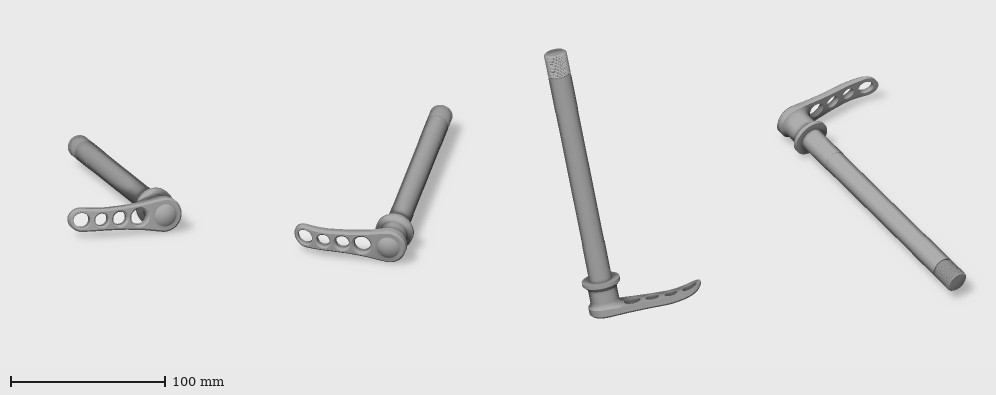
import cadquery as cq
import math


overall_length = 185.78

shaft_radius = 7.5
axle_reach = 159.5
relief_radius = 6.3
relief_width = 1.2
waist_radius = 7.3
waist_start = -119.1
waist_end = -25.2

thread_length = 15.1
thread_pitch = 1.0
thread_depth = 0.8
thread_chamfer = 1.0
groove_half_width = 0.42
groove_overshoot = 0.1

flange_radius = 12.5
flange_rim = 2.4
hub_radius = 9.5
hub_fillet = 4.5
cone_end = flange_rim + flange_radius - hub_radius

lever_back = 18.45
lever_front = 23.5
lever_edge_chamfer = 1.3
head_radius = 11.5
neck_y = -40.7
neck_half_width = 7.35
tip_y = -63.5
tip_radius = 7.9
tip_centre_y = tip_y + tip_radius

bend_back_start_y = -38.5
bend_back_tip_x = 13.05
bend_front_start_y = -38.0
bend_front_tip_x = 16.25

arm_holes = [
    (-17.4, 11.0, 1.3),
    (-30.6, 9.0, 1.3),
    (-43.0, 8.5, 1.0),
    (tip_centre_y, 10.0, 0.6),
]

cap_radius = shaft_radius
cap_top = overall_length - axle_reach


def revolve_about_x(outline):
    return outline.close().revolve(360, (0, 0, 0), (1, 0, 0))


def make_thread_groove():
    """Helical V groove that runs in from before the axle's end and out into the relief."""
    root_radius = shaft_radius - thread_depth
    mouth_radius = shaft_radius + groove_overshoot
    mouth_half_width = groove_half_width * (1 + groove_overshoot / thread_depth)
    helix = cq.Wire.makeHelix(thread_pitch, thread_length + thread_pitch, shaft_radius)
    groove = (
        cq.Workplane("XZ")
        .polyline([(root_radius, 0), (mouth_radius, mouth_half_width), (mouth_radius, -mouth_half_width)])
        .close()
        .sweep(cq.Workplane(helix), isFrenet=True)
    )
    lengthwise = groove.rotate((0, 0, 0), (0, 1, 0), 90)
    return lengthwise.translate((-axle_reach - thread_pitch / 2, 0, 0))


def make_axle():
    thread_start = -axle_reach
    relief_start = thread_start + thread_length
    relief_end = relief_start + relief_width
    outline = cq.Workplane("XZ").polyline([
        (thread_start, 0),
        (thread_start, shaft_radius - thread_chamfer),
        (thread_start + thread_chamfer, shaft_radius),
        (relief_start, shaft_radius),
        (relief_start, relief_radius),
        (relief_end, relief_radius),
        (relief_end, shaft_radius),
        (waist_start, shaft_radius),
        (waist_start, waist_radius),
        (waist_end, waist_radius),
        (waist_end, shaft_radius),
        (lever_front, shaft_radius),
        (lever_front, 0),
    ])
    return revolve_about_x(outline).cut(make_thread_groove())


def flank_touch(centre_y, radius, flank_centre_z):
    """Point where the flank arc, centred over the neck, touches a circle centred on the arm's axis."""
    run = neck_y - centre_y
    distance = math.hypot(run, flank_centre_z)
    return centre_y + radius * run / distance, radius * flank_centre_z / distance


def lever_outline():
    """Round head and round tip joined by concave flanks that are narrowest at the neck."""
    flank_radius = (neck_y**2 + neck_half_width**2 - head_radius**2) / (2 * (head_radius - neck_half_width))
    flank_centre_z = neck_half_width + flank_radius

    def flank_middle(end_y):
        y = (end_y + neck_y) / 2
        return y, flank_centre_z - math.sqrt(flank_radius**2 - (y - neck_y)**2)

    def mirrored(point):
        return point[0], -point[1]

    head_end = flank_touch(0, head_radius, flank_centre_z)
    tip_end = flank_touch(tip_centre_y, tip_radius, flank_centre_z)
    neck = (neck_y, neck_half_width)
    head_flank = flank_middle(head_end[0])
    tip_flank = flank_middle(tip_end[0])
    return (
        cq.Workplane("YZ")
        .moveTo(*head_end)
        .threePointArc(head_flank, neck)
        .threePointArc(tip_flank, tip_end)
        .threePointArc((tip_y, 0), mirrored(tip_end))
        .threePointArc(mirrored(tip_flank), mirrored(neck))
        .threePointArc(mirrored(head_flank), mirrored(head_end))
        .threePointArc((head_radius, 0), head_end)
        .close()
    )


def bend_middle(face_x, start_y, tip_x):
    """Middle of the arc that leaves a flat lever face tangentially and ends at the tip."""
    run = start_y - tip_y
    drop = face_x - tip_x
    radius = (run**2 + drop**2) / (2 * drop)
    half_angle = math.asin(run / radius) / 2
    return face_x - radius * (1 - math.cos(half_angle)), start_y - radius * math.sin(half_angle)


def make_bent_plate():
    """Side profile of head and arm, wider than the lever in Z."""
    back_middle = bend_middle(lever_back, bend_back_start_y, bend_back_tip_x)
    front_middle = bend_middle(lever_front, bend_front_start_y, bend_front_tip_x)
    return (
        cq.Workplane("XY")
        .moveTo(lever_back, flange_radius)
        .lineTo(lever_back, bend_back_start_y)
        .threePointArc(back_middle, (bend_back_tip_x, tip_y))
        .lineTo(bend_front_tip_x, tip_y)
        .threePointArc(front_middle, (lever_front, bend_front_start_y))
        .lineTo(lever_front, flange_radius)
        .close()
        .extrude(flange_radius, both=True)
    )


def make_arm_holes():
    holes = cq.Workplane("YZ", origin=(cone_end, 0, 0))
    for centre_y, diameter, _ in arm_holes:
        holes = holes.moveTo(centre_y, 0).circle(diameter / 2)
    return holes.extrude(lever_front - cone_end)


def make_arm():
    """Head and arm as one plate; its front rim and the front rims of its holes are chamfered."""
    plate = make_bent_plate().intersect(lever_outline().extrude(lever_front))
    plate = plate.cut(make_arm_holes())
    for centre_y, _, chamfer in arm_holes:
        rim_centre = cq.selectors.NearestToPointSelector((lever_front, centre_y, 0))
        plate = plate.edges(rim_centre).chamfer(chamfer)
    head_edge = cq.selectors.NearestToPointSelector((lever_front, head_radius, 0))
    return plate.edges(head_edge).chamfer(lever_edge_chamfer)


def make_hub():
    """Flange, cone and hub."""
    flare_start = lever_back - hub_fillet
    outline = cq.Workplane("XZ").polyline([
        (0, 0),
        (0, flange_radius),
        (flange_rim, flange_radius),
        (cone_end, hub_radius),
        (flare_start, hub_radius),
        (flare_start, 0),
    ])
    return revolve_about_x(outline)


def make_flare():
    """Concave fillet from the hub to the back of the lever, trimmed to the lever's outline."""
    flare_start = lever_back - hub_fillet
    outline = (
        cq.Workplane("XZ")
        .moveTo(flare_start, 0)
        .lineTo(flare_start, hub_radius)
        .radiusArc((lever_back, hub_radius + hub_fillet), -hub_fillet)
        .lineTo(lever_back, 0)
    )
    return revolve_about_x(outline).intersect(lever_outline().extrude(lever_back))


def make_lever():
    bore = cq.Workplane("YZ").circle(shaft_radius).extrude(lever_front)
    solid_lever = make_arm().union(make_flare()).union(make_hub())
    return solid_lever.cut(make_arm_holes()).cut(bore)


def make_cap():
    """Spherical dome seated on the lever's front face and the axle's end."""
    height = cap_top - lever_front
    dome_radius = (cap_radius**2 + height**2) / (2 * height)
    half_angle = math.asin(cap_radius / dome_radius) / 2
    dome_middle = (cap_top - dome_radius * (1 - math.cos(half_angle)), dome_radius * math.sin(half_angle))
    outline = (
        cq.Workplane("XZ")
        .moveTo(lever_front, 0)
        .lineTo(lever_front, cap_radius)
        .threePointArc(dome_middle, (cap_top, 0))
    )
    return revolve_about_x(outline)


axle = make_axle()
lever = make_lever()
cap = make_cap()

result = cq.Compound.makeCompound([*axle.solids().vals(), *lever.solids().vals(), *cap.solids().vals()])